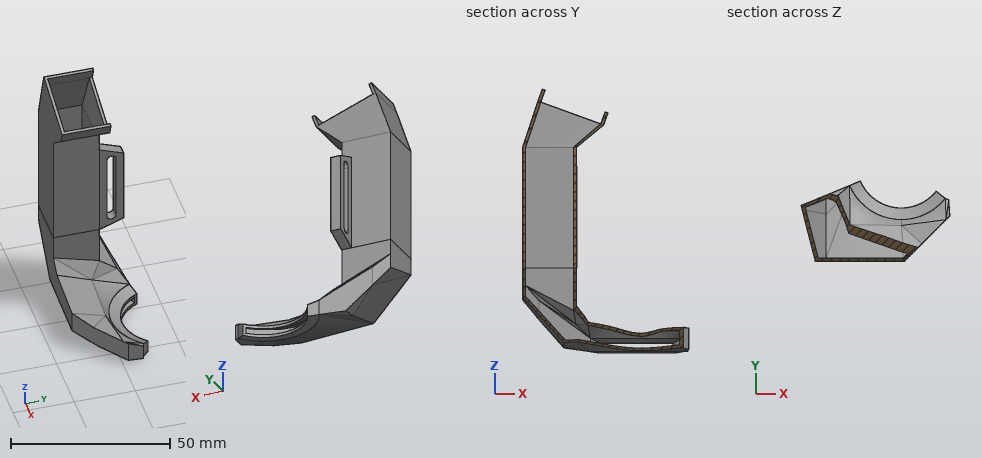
import cadquery as cq
import math

WALL = 1.0

DUCT_WIDTH = 17.0
DUCT_DEPTH = 15.0
DUCT_BOTTOM = 26.7
DUCT_LENGTH = 38.0
DUCT_TOP = DUCT_BOTTOM + DUCT_LENGTH

COLLAR_TILT = 20.0
COLLAR_WIDTH = 22.0
COLLAR_DEPTH = 16.0
COLLAR_HEIGHT = 4.0
COLLAR_CORNER_X = 4.83
COLLAR_CORNER_Z = 79.25

TAB_X = 13.6
TAB_THICKNESS = 3.5
TAB_REACH = 8.0
TAB_ROOT_LENGTH = 32.0
TAB_END_LENGTH = 26.0
SLOT_LENGTH = 25.2
SLOT_WIDTH = 3.0

TIP_CENTER = (36.98, 30.75)
TIP_INNER_RADIUS = 14.0
TIP_OUTER_RADIUS = 17.65
TIP_START_ANGLE = 203.13
TIP_END_ANGLE = 321.5
TIP_MIDDLE_ANGLE = 270.0
TIP_END_MARGIN = math.degrees(WALL / TIP_INNER_RADIUS)
TIP_INNER_BOTTOM = 0.0
TIP_INNER_TOP = 4.1
TIP_OUTER_BOTTOM = 0.55
TIP_OUTER_TOP = 5.7

KNEE_X = 13.0
FRONT_END_X = 38.0
SIDE_BEND_X = 5.2
SIDE_BEND_Y = 17.4
CORNER_X = 52.28
CORNER_Y = CORNER_X - FRONT_END_X

DIAGONAL = math.sqrt(0.5)
MITRE = math.sqrt(2) - 1


def collar_section(inset, height):
    """Tilted rectangle across the collar, at a height above the collar's lower edge."""
    tilt = math.radians(COLLAR_TILT)
    points = []
    back = COLLAR_DEPTH - inset
    for along, y in (
        (inset, inset),
        (COLLAR_WIDTH - inset, inset),
        (COLLAR_WIDTH - inset, back),
        (inset, back),
    ):
        x = COLLAR_CORNER_X + along * math.cos(tilt) + height * math.sin(tilt)
        z = COLLAR_CORNER_Z - along * math.sin(tilt) + height * math.cos(tilt)
        points.append(cq.Vector(x, y, z))
    return cq.Wire.makePolygon(points, close=True)


def duct_section(inset, z):
    """Horizontal rectangle across the straight duct."""
    right = DUCT_WIDTH - inset
    back = DUCT_DEPTH - inset
    corners = [(inset, inset), (right, inset), (right, back), (inset, back)]
    return cq.Wire.makePolygon([cq.Vector(x, y, z) for x, y in corners], close=True)


def duct_column(inset):
    """Straight duct, transition and collar, all drawn in by the inset."""
    duct_top = duct_section(inset, DUCT_TOP)
    straight = cq.Solid.makeLoft([duct_section(inset, DUCT_BOTTOM), duct_top], True)
    transition = cq.Solid.makeLoft([duct_top, collar_section(inset, 0)], True)
    collar = cq.Solid.makeLoft([collar_section(inset, 0), collar_section(inset, COLLAR_HEIGHT)], True)
    return cq.Workplane(straight).union(cq.Workplane(transition)).union(cq.Workplane(collar))


def make_upper_duct():
    collar_back_opening = (
        cq.Workplane("XY")
        .box(COLLAR_WIDTH - 2 * WALL, WALL, COLLAR_HEIGHT, centered=False)
        .translate((WALL, COLLAR_DEPTH - WALL, 0))
        .rotate((0, 0, 0), (0, 1, 0), COLLAR_TILT)
        .translate((COLLAR_CORNER_X, 0, COLLAR_CORNER_Z))
    )
    return duct_column(0).cut(duct_column(WALL)).cut(collar_back_opening)


def make_tab():
    taper = (TAB_ROOT_LENGTH - TAB_END_LENGTH) / 2
    root_y = DUCT_DEPTH
    end_y = root_y + TAB_REACH
    top = DUCT_BOTTOM + TAB_ROOT_LENGTH
    outline = [(root_y, DUCT_BOTTOM), (end_y, DUCT_BOTTOM + taper), (end_y, top - taper), (root_y, top)]
    plate = cq.Workplane("YZ").polyline(outline).close().extrude(TAB_THICKNESS)
    slot = (
        cq.Workplane("YZ")
        .center(root_y + TAB_REACH / 2, DUCT_BOTTOM + TAB_ROOT_LENGTH / 2)
        .slot2D(SLOT_LENGTH, SLOT_WIDTH, 90)
        .extrude(TAB_THICKNESS)
    )
    return plate.cut(slot).translate((TAB_X, 0, 0))


def tip_point(angle, z, radius=TIP_OUTER_RADIUS):
    turn = math.radians(angle)
    return cq.Vector(
        TIP_CENTER[0] + radius * math.cos(turn), TIP_CENTER[1] + radius * math.sin(turn), z
    )


def tip_sector(inset, end_margin):
    """Ring sector with a tapered section; the inset lowers its roof and raises its floor."""
    section = [
        (TIP_INNER_RADIUS, TIP_INNER_BOTTOM + inset),
        (TIP_OUTER_RADIUS, TIP_OUTER_BOTTOM + inset),
        (TIP_OUTER_RADIUS, TIP_OUTER_TOP - inset),
        (TIP_INNER_RADIUS, TIP_INNER_TOP - inset),
    ]
    sweep = TIP_END_ANGLE - TIP_START_ANGLE - 2 * end_margin
    return (
        cq.Workplane("XZ")
        .polyline(section)
        .close()
        .revolve(sweep, (0, 0, 0), (0, -1, 0))
        .rotate((0, 0, 0), (0, 0, 1), TIP_END_ANGLE - end_margin)
        .translate((TIP_CENTER[0], TIP_CENTER[1], 0))
    )


def make_nozzle_tip():
    return tip_sector(0, 0).cut(tip_sector(WALL, TIP_END_MARGIN))


def flat(*points):
    return cq.Face.makeFromWires(cq.Wire.makePolygon(list(points), close=True))


def ruled(start, end, far_edge):
    return cq.Face.makeRuledSurface(cq.Edge.makeLine(start, end), far_edge)


def tip_arc(start, end, z):
    return cq.Edge.makeThreePointArc(
        tip_point(start, z), tip_point((start + end) / 2, z), tip_point(end, z)
    )


def elbow_block(inset, end_margin):
    """Outside of the elbow, or its cavity when drawn in by the wall thickness.

    Each corner is given as its place on the outside and the way it moves, per
    millimetre of inset, to keep an even wall. The end margin narrows the mouth at the tip.
    """

    def corner(place, inward):
        return cq.Vector(*place) + cq.Vector(*inward) * inset

    joint_left = corner((0, 0, DUCT_BOTTOM), (1, 1, 0))
    joint_right = corner((DUCT_WIDTH, 0, DUCT_BOTTOM), (-1, 1, 0))
    joint_back_right = corner((DUCT_WIDTH, DUCT_DEPTH, DUCT_BOTTOM), (-1, -1, 0))
    joint_back_left = corner((0, DUCT_DEPTH, DUCT_BOTTOM), (1, -1, 0))

    throat = corner((DUCT_WIDTH, 0, 18.6), (-1, 1, -0.8))
    roof_start = corner((21.0, 0, 14.75), (-0.4, 1, -1.5))
    roof_end = corner((FRONT_END_X, 0, 12.4), (-MITRE, 1, -1.5))
    floor_end = corner((FRONT_END_X, 0, 5.44), (-MITRE, 1, 0.8))
    knee = corner((KNEE_X, 0, 6.8), (0.4, 1, 0.8))
    heel = corner((0, 0, 21.1), (1, 1, 0.1))

    start = TIP_START_ANGLE + end_margin
    end = TIP_END_ANGLE - end_margin
    mouth_top = TIP_OUTER_TOP - inset
    mouth_bottom = TIP_OUTER_BOTTOM + inset
    tip_start_top = tip_point(start, mouth_top)
    tip_start_bottom = tip_point(start, mouth_bottom)
    tip_middle_bottom = tip_point(TIP_MIDDLE_ANGLE, mouth_bottom)
    tip_end_top = tip_point(end, mouth_top)
    tip_end_bottom = tip_point(end, mouth_bottom)

    back_left = corner((0, DUCT_DEPTH, 21.65), (1, -1, -0.4))
    back_right = corner((DUCT_WIDTH, DUCT_DEPTH, 14.25), (-1, -1, -0.8))
    back_heel = corner((0, DUCT_DEPTH, 16.8), (1, -1, 0.7))
    bend_top = corner((SIDE_BEND_X, SIDE_BEND_Y, 17.0), (0, -1.1, -0.5))
    bend_bottom = corner((SIDE_BEND_X, SIDE_BEND_Y, 10.5), (0, -1.1, 1.8))
    back_slope = (tip_start_top.y - bend_top.y) / (tip_start_top.x - bend_top.x)
    back_knee_y = bend_top.y + back_slope * (knee.x - bend_top.x)
    back_knee = cq.Vector(knee.x, back_knee_y, 1.65 + inset)
    floor_knee = corner((KNEE_X, 15.35, 2.4), (0.4, -0.5, 1.2))
    hip = corner((17.2, 20.8, 10.0), (-0.4, -1, -0.9))

    crease_start = corner((20.9, 11.5, 10.2), (-0.4, 0, -1.1))
    crease_middle = corner((37.0, 11.25, 8.2), (0, -0.5, -1.1))
    crease_end = corner((FRONT_END_X + 13.1, 13.1, 8.1), (-DIAGONAL, DIAGONAL, -1.1))
    roof_dip = corner((FRONT_END_X + 5.5, 5.5, 9.65), (-DIAGONAL, DIAGONAL, -1.3))
    floor_dip = corner((FRONT_END_X + 6.5, 6.5, 2.85), (-DIAGONAL, DIAGONAL, 0.9))
    corner_top = corner((CORNER_X, CORNER_Y, 7.9), (-1, MITRE, -1.1))
    corner_bottom = corner((CORNER_X, CORNER_Y, 1.25), (-1, MITRE, 1))
    end_top = corner((51.9, 19.4, 5.6), (-1, -0.8, -1))
    end_bottom = corner((51.9, 19.4, 0.6), (-1, -0.8, 1))

    first_half = (start, TIP_MIDDLE_ANGLE)
    second_half = (TIP_MIDDLE_ANGLE, end)

    upright_faces = [
        flat(joint_left, joint_right, joint_back_right, joint_back_left),
        flat(joint_left, heel, back_heel, back_left, joint_back_left),
        flat(joint_right, joint_back_right, back_right, throat),
        flat(joint_back_left, joint_back_right, back_right, back_left),
        flat(joint_left, joint_right, throat, roof_start, roof_end, floor_end, knee, heel),
        flat(roof_end, roof_dip, crease_end, corner_top, corner_bottom, floor_dip, floor_end),
        flat(corner_top, end_top, end_bottom, corner_bottom),
        flat(end_top, tip_end_top, tip_end_bottom, end_bottom),
        flat(back_left, back_heel, bend_bottom, bend_top),
        flat(bend_top, bend_bottom, back_knee, tip_start_bottom, tip_start_top),
    ]
    roof_faces = [
        flat(back_left, bend_top, hip),
        flat(back_left, hip, back_right),
        flat(bend_top, tip_start_top, hip),
        flat(throat, roof_start, crease_start),
        flat(throat, crease_start, back_right),
        flat(back_right, crease_start, hip),
        flat(hip, crease_start, tip_start_top),
        ruled(roof_start, roof_end, cq.Edge.makeLine(crease_start, crease_middle)),
        flat(roof_end, roof_dip, crease_middle),
        flat(roof_dip, crease_end, crease_middle),
        ruled(crease_start, crease_middle, tip_arc(*first_half, mouth_top)),
        ruled(crease_middle, crease_end, tip_arc(*second_half, mouth_top)),
        flat(crease_end, corner_top, end_top),
        flat(crease_end, end_top, tip_end_top),
    ]
    floor_faces = [
        flat(heel, back_heel, bend_bottom),
        ruled(heel, knee, cq.Edge.makeLine(bend_bottom, floor_knee)),
        flat(bend_bottom, back_knee, floor_knee),
        flat(knee, floor_knee, tip_start_bottom),
        flat(floor_knee, back_knee, tip_start_bottom),
        ruled(knee, floor_end, tip_arc(*first_half, mouth_bottom)),
        flat(floor_end, floor_dip, tip_middle_bottom),
        ruled(floor_dip, corner_bottom, tip_arc(*second_half, mouth_bottom)),
        flat(corner_bottom, end_bottom, tip_end_bottom),
    ]
    tip_faces = [
        cq.Face.makeRuledSurface(tip_arc(*half, mouth_bottom), tip_arc(*half, mouth_top))
        for half in (first_half, second_half)
    ]
    shell = cq.Shell.makeShell(upright_faces + roof_faces + floor_faces + tip_faces)
    return cq.Workplane(cq.Solid.makeSolid(shell))


def make_elbow():
    return elbow_block(0, 0).cut(elbow_block(WALL, TIP_END_MARGIN))


upper_duct = make_upper_duct()
tab = make_tab()
nozzle_tip = make_nozzle_tip()
elbow = make_elbow()
bodies = [upper_duct, tab, elbow, nozzle_tip]
result = cq.Compound.makeCompound([body.solids().val() for body in bodies])